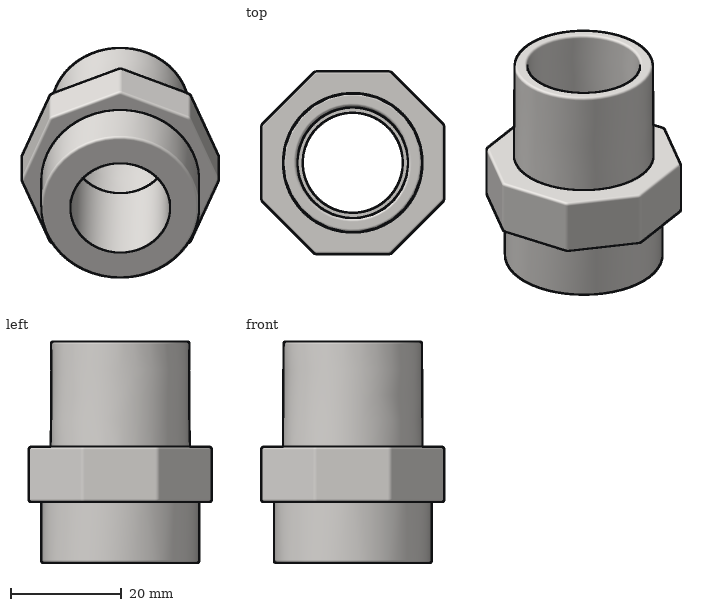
import cadquery as cq

COLLAR_BOTTOM = 11.0
COLLAR_TOP = 21.0
TOTAL_HEIGHT = 40.0

COLLAR_SIDES = 8
ACROSS_FLATS = 33.0
CORNER_RADIUS = 1.0

BASE_DIAMETER = 28.5
SPIGOT_ROOT_DIAMETER = 25.2
SPIGOT_TIP_DIAMETER = 25.0

BORE_DIAMETER = 18.0
SOCKET_MOUTH_DIAMETER = 20.3
SOCKET_FLOOR_DIAMETER = 19.9
SOCKET_DEPTH = 16.0

EDGE_RADIUS = 0.5


def cone_between(bottom_z, bottom_diameter, top_z, top_diameter):
    """Tapered round solid on the Z axis."""
    profile = [
        (0, bottom_z),
        (bottom_diameter / 2, bottom_z),
        (top_diameter / 2, top_z),
        (0, top_z),
    ]
    return cq.Workplane("XZ").polyline(profile).close().revolve(360, (0, 0, 0), (0, 1, 0))


def make_base():
    """Plain round end below the collar, with a rounded lower rim."""
    base = cq.Workplane("XY").circle(BASE_DIAMETER / 2).extrude(COLLAR_BOTTOM)
    return base.faces("<Z").edges().fillet(EDGE_RADIUS)


def make_collar():
    """Octagon with flats facing X and Y, rounded on every edge."""
    collar = (
        cq.Workplane("XY")
        .workplane(offset=COLLAR_BOTTOM)
        .polygon(COLLAR_SIDES, ACROSS_FLATS, circumscribed=True)
        .extrude(COLLAR_TOP - COLLAR_BOTTOM)
    )
    collar = collar.edges("|Z").fillet(CORNER_RADIUS)
    return collar.faces("<Z or >Z").edges().fillet(EDGE_RADIUS)


def make_spigot():
    """Slightly tapered round end above the collar, with a rounded upper rim."""
    spigot = cone_between(COLLAR_TOP, SPIGOT_ROOT_DIAMETER, TOTAL_HEIGHT, SPIGOT_TIP_DIAMETER)
    return spigot.faces(">Z").edges().fillet(EDGE_RADIUS)


def cut_passage(body):
    """Straight through bore with a wider tapered socket at the top."""
    bore = cq.Workplane("XY").circle(BORE_DIAMETER / 2).extrude(TOTAL_HEIGHT)
    socket_floor = TOTAL_HEIGHT - SOCKET_DEPTH
    socket = cone_between(socket_floor, SOCKET_FLOOR_DIAMETER, TOTAL_HEIGHT, SOCKET_MOUTH_DIAMETER)
    body = body.cut(bore).cut(socket)
    return body.faces(">Z").edges(cq.selectors.RadiusNthSelector(0)).fillet(EDGE_RADIUS)


outer_body = make_base().union(make_collar()).union(make_spigot())
result = cut_passage(outer_body)